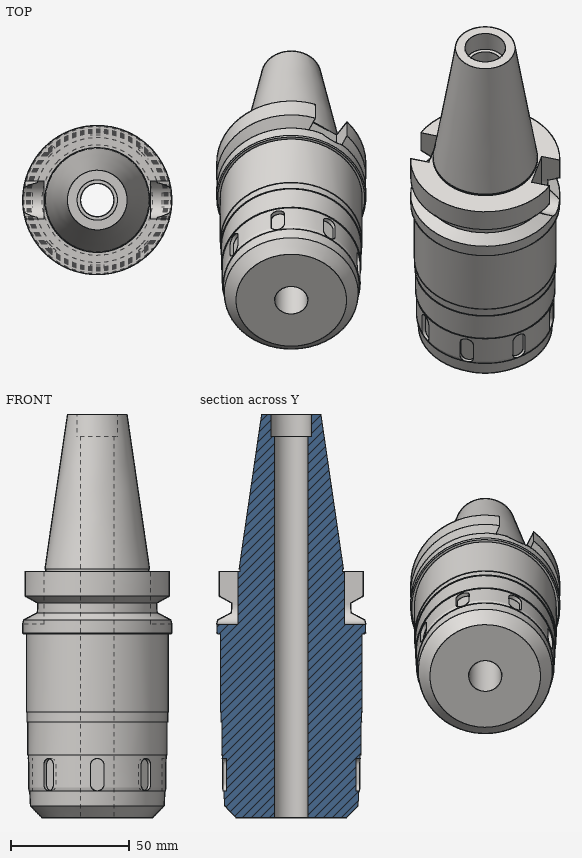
import cadquery as cq
import math

total_height = 170.4
taper_base_z = 105.0

taper_base_radius = 22.2
taper_slope = 7 / 48
taper_top_radius = taper_base_radius - (total_height - taper_base_z) * taper_slope
neck_radius = 21.8

flange_radius = 31.5
flange_top_z = 104.1
flange_bottom_z = 77.5
flange_edge_chamfer = 0.5
groove_radius = 26.4
groove_floor_bottom_z = 86.5
groove_floor_top_z = 90.7
groove_side_angle = 30
groove_side_slope = math.tan(math.radians(groove_side_angle))
groove_side_height = (flange_radius - groove_radius) * groove_side_slope

body_radius = 30.0
collar_radius = 29.8
collar_top_z = 44.6
collar_bottom_z = 40.4
sleeve_radius = 29.5

nut_radius = 29.1
nut_top_z = 26.5
nut_bottom_z = 11.2
nut_edge_height = 1.5
nut_edge_inset = 0.3
nose_top_radius = 28.6
nose_taper = 0.3
nose_end_radius = 23.3
nose_chamfer_height = 5.1

drive_slot_count = 2
drive_slot_width = 16.0
drive_slot_floor_x = 22.5
drive_slot_bottom_z = 81.8

spanner_slot_count = 8
spanner_slot_width = 5.8
spanner_slot_bottom_z = 11.5
spanner_slot_top_z = 25.0
spanner_slot_floor_radius = 27.5

bore_radius = 7.0
counterbore_radius = 8.5
counterbore_depth = 9.4


def make_turned_body():
    """Revolve the outer profile about the Z axis."""
    profile = [
        (0, 0),
        (nose_end_radius, 0),
        (nose_top_radius - nose_taper, nose_chamfer_height),
        (nose_top_radius, nut_bottom_z),
        (nut_radius - nut_edge_inset, nut_bottom_z),
        (nut_radius, nut_bottom_z + nut_edge_height),
        (nut_radius, nut_top_z),
        (sleeve_radius, nut_top_z),
        (sleeve_radius, collar_bottom_z),
        (collar_radius, collar_bottom_z),
        (collar_radius, collar_top_z),
        (body_radius, collar_top_z),
        (body_radius, flange_bottom_z),
        (flange_radius - flange_edge_chamfer, flange_bottom_z),
        (flange_radius, flange_bottom_z + flange_edge_chamfer),
        (flange_radius, groove_floor_bottom_z - groove_side_height),
        (groove_radius, groove_floor_bottom_z),
        (groove_radius, groove_floor_top_z),
        (flange_radius, groove_floor_top_z + groove_side_height),
        (flange_radius, flange_top_z),
        (neck_radius, flange_top_z),
        (neck_radius, taper_base_z),
        (taper_base_radius, taper_base_z),
        (taper_top_radius, total_height),
        (0, total_height),
    ]
    return cq.Workplane("XZ").polyline(profile).close().revolve(360, (0, 0), (0, 1))


def make_bore():
    """Through bore with a counterbore at the small end of the taper."""
    bore = cq.Workplane("XY").circle(bore_radius).extrude(total_height)
    counterbore = (
        cq.Workplane("XY", origin=(0, 0, total_height - counterbore_depth))
        .circle(counterbore_radius)
        .extrude(counterbore_depth)
    )
    return bore.union(counterbore)


def make_drive_slot():
    """Round-bottomed slot on the +X side, open at the top of the flange."""
    half_width = drive_slot_width / 2
    arc_center_z = drive_slot_bottom_z + half_width
    return (
        cq.Workplane("YZ", origin=(drive_slot_floor_x, 0, 0))
        .moveTo(-half_width, flange_top_z)
        .lineTo(-half_width, arc_center_z)
        .threePointArc((0, drive_slot_bottom_z), (half_width, arc_center_z))
        .lineTo(half_width, flange_top_z)
        .close()
        .extrude(flange_radius - drive_slot_floor_x)
    )


def make_spanner_slot():
    """Flat-floored slot with round ends, on the +X side of the nut."""
    slot_length = spanner_slot_top_z - spanner_slot_bottom_z
    slot_center_z = (spanner_slot_top_z + spanner_slot_bottom_z) / 2
    return (
        cq.Workplane("YZ", origin=(spanner_slot_floor_radius, 0, slot_center_z))
        .slot2D(slot_length, spanner_slot_width, 90)
        .extrude(nut_radius - spanner_slot_floor_radius)
    )


def cut_around_axis(body, cutter, count):
    """Cut evenly spaced copies of a cutter around the Z axis."""
    for index in range(count):
        angle = index * 360 / count
        body = body.cut(cutter.rotate((0, 0, 0), (0, 0, 1), angle))
    return body


result = make_turned_body().cut(make_bore())
result = cut_around_axis(result, make_drive_slot(), drive_slot_count)
result = cut_around_axis(result, make_spanner_slot(), spanner_slot_count)